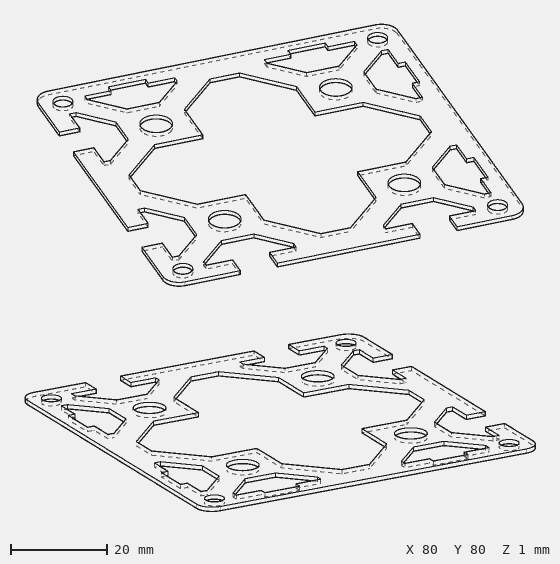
import cadquery as cq

side = 80.0
thickness = 1.0
corner_radius = 3.6
half_side = side / 2
module_centre = side / 4

core_hole_diameter = 6.8
corner_hole_diameter = 4.2
corner_hole_inset = 5.0

slot_opening = 8.2
slot_width = 20.0
slot_floor_width = 7.2
slot_depth = 12.4
slot_shoulder_depth = 1.4
lip_thickness = 4.6
closed_skin = 3.0

rim_width = 7.6
core_square = 15.0
arm_flat = 6.6


def slot_cutter(skin):
    """T-slot on the -Y side; a skin of zero leaves the slot open to the outside."""
    outer_y = -half_side
    opening = slot_opening / 2
    width = slot_width / 2
    floor = slot_floor_width / 2
    mouth_y = outer_y + skin
    lip_y = outer_y + lip_thickness
    shoulder_y = lip_y + slot_shoulder_depth
    floor_y = outer_y + slot_depth
    profile = [
        (-opening, mouth_y),
        (opening, mouth_y),
        (opening, lip_y),
        (width, lip_y),
        (width, shoulder_y),
        (floor, floor_y),
        (-floor, floor_y),
        (-width, shoulder_y),
        (-width, lip_y),
        (-opening, lip_y),
    ]
    return (
        cq.Workplane("XY")
        .pushPoints([(-module_centre, 0), (module_centre, 0)])
        .eachpoint(lambda place: cq.Workplane("XY").polyline(profile).close()
                   .extrude(thickness).val().moved(place))
    )


def arm_cutter():
    """Half-length arm of the central opening, reaching from the centre towards -Y."""
    inner = module_centre - core_square / 2
    flat = arm_flat / 2
    end_y = -half_side + rim_width
    taper_y = end_y + inner - flat
    profile = [
        (-inner, inner),
        (-inner, taper_y),
        (-flat, end_y),
        (flat, end_y),
        (inner, taper_y),
        (inner, inner),
    ]
    return cq.Workplane("XY").polyline(profile).close().extrude(thickness)


def turned(cutter, angle):
    return cutter.rotate((0, 0, 0), (0, 0, 1), angle)


result = (
    cq.Workplane("XY")
    .rect(side, side)
    .extrude(thickness)
    .edges("|Z")
    .fillet(corner_radius)
)

hole_spacing = side - 2 * corner_hole_inset
for spacing, diameter in (
    (2 * module_centre, core_hole_diameter),
    (hole_spacing, corner_hole_diameter),
):
    result = (
        result.faces(">Z")
        .workplane(origin=(0, 0, 0))
        .rect(spacing, spacing, forConstruction=True)
        .vertices()
        .hole(diameter)
    )

for angle, skin in ((0, 0), (90, 0), (180, closed_skin), (270, closed_skin)):
    result = result.cut(turned(slot_cutter(skin), angle))
    result = result.cut(turned(arm_cutter(), angle))